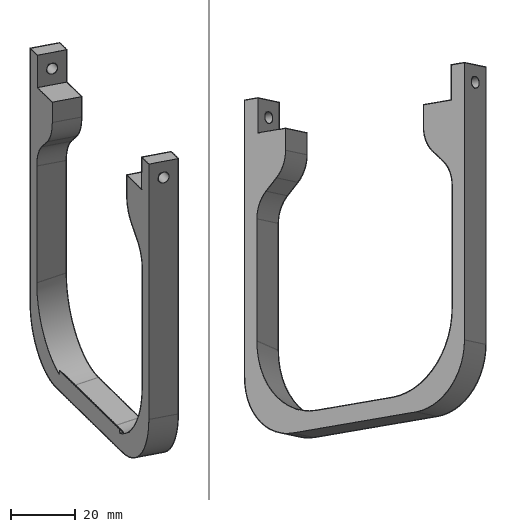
import cadquery as cq
import math

WIDTH = 91.0
DEPTH = 10.0
HEIGHT = 107.0
OUTER_RADIUS = 20.0
WALL = 5.1

POST_THICKNESS = 5.6
POST_HEIGHT = 11.0
HOOK_REACH = 17.0
HOOK_TIP_HEIGHT = 84.1
HOOK_ROOT_HEIGHT = 74.0
HOOK_RADIUS = 10.7
HOLE_DIAMETER = 3.6

FLOOR_FRONT = 4.4
FLOOR_BACK = 5.9
INNER_RADIUS = 24.6

LIP_FRONT_HEIGHT = 7.0
LIP_BACK_HEIGHT = 5.1
LIP_DEPTH = 1.8
LIP_TOP_LENGTH = 45.8
LIP_BASE_LENGTH = 48.2
LIP_BASE_HEIGHT = 3.2

HALF_WIDTH = WIDTH / 2
INNER_HALF = HALF_WIDTH - WALL
SPLIT_HEIGHT = 48.2
OVERLAP = 5.4


def make_blank():
    """Solid block with the two bottom corners rounded."""
    block = cq.Workplane("XY").box(WIDTH, DEPTH, HEIGHT, centered=(True, False, False))
    return block.edges("|Y and <Z").fillet(OUTER_RADIUS)


def make_upper_cavity():
    """Opening between the posts, hooks and straight walls."""
    post_x = HALF_WIDTH - POST_THICKNESS
    tip_x = HALF_WIDTH - HOOK_REACH
    shelf_z = HEIGHT - POST_HEIGHT
    right_side = [
        (INNER_HALF, SPLIT_HEIGHT),
        (INNER_HALF, HOOK_ROOT_HEIGHT),
        (tip_x, HOOK_TIP_HEIGHT),
        (tip_x, shelf_z),
        (post_x, shelf_z),
        (post_x, HEIGHT + OVERLAP),
    ]
    left_side = [(-x, z) for x, z in reversed(right_side)]
    cavity = cq.Workplane("XZ").polyline(right_side + left_side).close().extrude(-DEPTH)
    for height in (HOOK_ROOT_HEIGHT, HOOK_TIP_HEIGHT):
        bend = cq.selectors.BoxSelector(
            (-WIDTH, -1.1, height - 1.1),
            (WIDTH, DEPTH + 1.1, height + 1.1),
        )
        cavity = cavity.edges("|Y").edges(bend).fillet(HOOK_RADIUS)
    return cavity


def make_lower_cavity():
    """Rounded opening above the floor, tilted so the floor climbs to the back."""
    slope = math.degrees(math.atan2(FLOOR_BACK - FLOOR_FRONT, DEPTH))
    cavity_height = SPLIT_HEIGHT - FLOOR_FRONT + OVERLAP
    cavity = (
        cq.Workplane("XY")
        .box(2 * INNER_HALF, 4 * DEPTH, cavity_height, centered=(True, True, False))
        .edges("|Y and <Z")
        .fillet(INNER_RADIUS)
    )
    return cavity.rotate((0, 0, 0), (1, 0, 0), slope).translate((0, 0, FLOOR_FRONT))


def make_lip():
    """Lip with slanted ends and a top that falls away to the back."""
    section = [
        (0, LIP_BASE_HEIGHT),
        (LIP_DEPTH, LIP_BASE_HEIGHT),
        (LIP_DEPTH, LIP_BACK_HEIGHT),
        (0, LIP_FRONT_HEIGHT),
    ]
    bar = cq.Workplane("YZ").polyline(section).close().extrude(LIP_BASE_LENGTH / 2, both=True)
    ends = [
        (-LIP_BASE_LENGTH / 2, LIP_BASE_HEIGHT),
        (LIP_BASE_LENGTH / 2, LIP_BASE_HEIGHT),
        (LIP_TOP_LENGTH / 2, LIP_FRONT_HEIGHT),
        (-LIP_TOP_LENGTH / 2, LIP_FRONT_HEIGHT),
    ]
    return bar.intersect(cq.Workplane("XZ").polyline(ends).close().extrude(-LIP_DEPTH))


def make_post_holes():
    """Cross-pin cutter through the middle of both posts."""
    return (
        cq.Workplane("YZ")
        .center(DEPTH / 2, HEIGHT - POST_HEIGHT / 2)
        .circle(HOLE_DIAMETER / 2)
        .extrude(HALF_WIDTH + OVERLAP, both=True)
    )


frame = make_blank().cut(make_upper_cavity()).cut(make_lower_cavity())
result = frame.union(make_lip()).cut(make_post_holes())